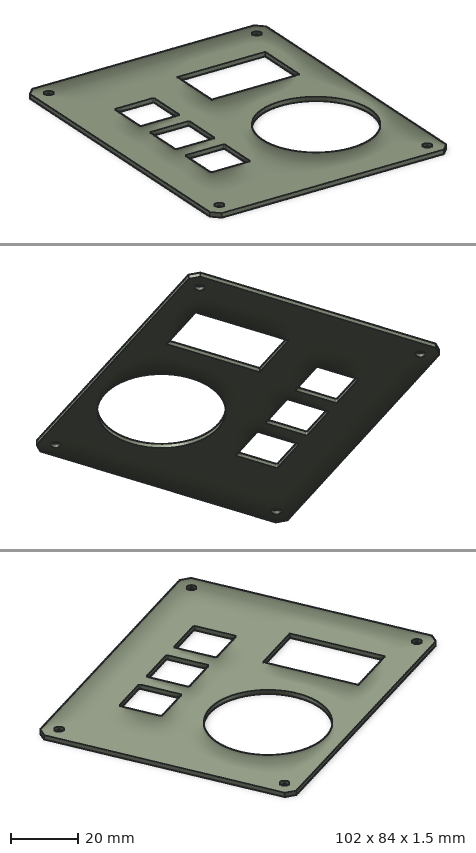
import cadquery as cq

plate_length = 102
plate_width = 84.0
plate_thickness = 1.5
corner_chamfer = 2.5

mount_hole_diameter = 3.0
mount_spacing_x = 91.8
mount_spacing_y = 74.0

round_opening_diameter = 38.1
round_opening_center = (15.8, 17.3)

window_width = 18.5
window_height = 31.2
window_center = (-24.8, 16.5)

square_count = 3
square_size = 14.0
square_corner_radius = 0.5
square_pitch = 19.0
square_row_y = -19.8


def rectangular_cutter(width, height, center):
    """Block that cuts a rectangular opening through the plate."""
    return cq.Workplane("XY").center(*center).rect(width, height).extrude(plate_thickness)


plate = (
    cq.Workplane("XY")
    .rect(plate_length, plate_width)
    .extrude(plate_thickness)
    .edges("|Z")
    .chamfer(corner_chamfer)
)

mount_holes = (
    cq.Workplane("XY")
    .rect(mount_spacing_x, mount_spacing_y, forConstruction=True)
    .vertices()
    .circle(mount_hole_diameter / 2)
    .extrude(plate_thickness)
)

round_opening = (
    cq.Workplane("XY")
    .center(*round_opening_center)
    .circle(round_opening_diameter / 2)
    .extrude(plate_thickness)
)

window = rectangular_cutter(window_width, window_height, window_center)

result = plate.cut(mount_holes).cut(round_opening).cut(window)

for index in range(square_count):
    square_x = (index - (square_count - 1) / 2) * square_pitch
    square = rectangular_cutter(square_size, square_size, (square_x, square_row_y))
    result = result.cut(square.edges("|Z").fillet(square_corner_radius))